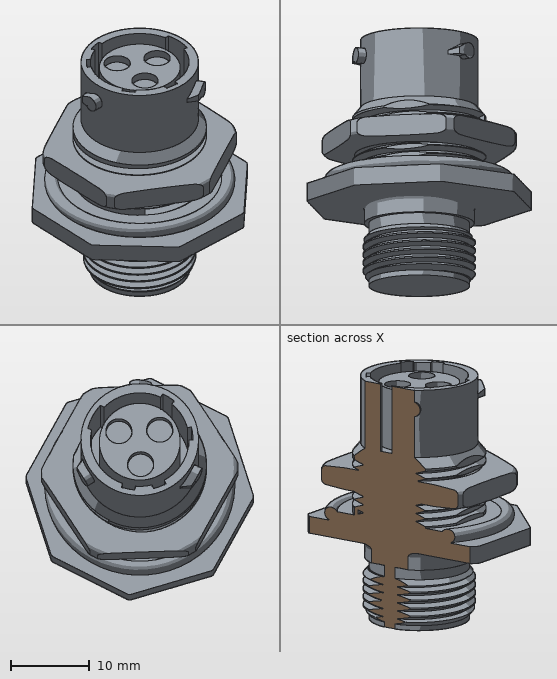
import cadquery as cq
import math

total_height = 32.0

rear_core_radius = 6.43
rear_thread_radius = 7.17
rear_thread_bottom = 0.67
rear_thread_top = 6.72
rear_thread_lead_in = 0.83
rear_thread_root_radius = 6.45
rear_thread_crest_width = 0.2
rear_crest_height = 4.03
rear_groove_turns = 7
rear_groove_turns_below = 4

collar_radius = 7.0
collar_bottom = 8.13
collar_fillet = 0.7

flange_across_flats = 26.98
flange_bottom = 10.5
flange_top = 12.77
flange_corner_radius = 0.7

seal_outer_radius = 12.13
seal_section_radius = 0.9
seal_sink = 0.03
seal_shoulder_top = 14.08

panel_thread_radius = 8.5
panel_thread_root_radius = 7.6
panel_thread_top = 21.9
panel_thread_crest_width = 0.1
panel_groove_start_angle = -38.0
panel_groove_full_turns = 6
panel_groove_extra_angle = 218.0
panel_groove_sweep = panel_groove_full_turns * 360 + panel_groove_extra_angle
panel_groove_start_height = 14.53
panel_flat_distance = 8.0

thread_pitch = 1.05

nut_across_flats = 22.25
nut_bottom = 17.12
nut_top = 20.05
nut_corner_radius = 12.55
nut_face_radius = 9.47
nut_shoulder_radius = 11.85
nut_face_slope_drop = 0.2

shell_radius = 7.5
shell_bottom = 23.15
bore_radius = 6.27
bore_floor = shell_bottom

keyway_radius = 6.8
main_keyway_width = 3.45
main_keyway_angle = 90.0
minor_keyway_width = 1.7
minor_keyway_angles = (195.0, 230.0, 305.0, 355.0)

insert_radius = 5.15
insert_top = 31.15
contact_count = 3
contact_hole_radius = 1.65
contact_hole_depth = 1.0
contact_circle_radius = 3.0

pin_count = 3
pin_radius = 1.0
pin_height = 29.47
pin_outer_radius = 8.55
pin_root_distance = 6.4
pin_tail_reach = 2.85
pin_tail_outer_reach = 1.6
pin_tail_bottom = 0.67
pin_tail_slope = 29.0
pin_blend_start = 0.7
pin_blend_end = 0.22


def cylinder(radius, bottom, top):
    return cq.Workplane("XY").workplane(offset=bottom).circle(radius).extrude(top - bottom)


def regular_prism(sides, across_flats, bottom, top, turn):
    across_corners = across_flats / math.cos(math.pi / sides)
    prism = cq.Workplane("XY").polygon(sides, across_corners).extrude(top - bottom)
    return prism.rotate((0, 0, 0), (0, 0, 1), turn).translate((0, 0, bottom))


def thread_groove(crest_radius, root_radius, crest_width, sweep_angle, start_height, start_angle):
    """V-shaped right-hand helical cutter, reaching a little beyond the crest radius."""
    overshoot = 0.05
    depth = crest_radius - root_radius
    half_width = (thread_pitch - crest_width) / 2
    outer_half_width = half_width * (1 + overshoot / depth)
    length = thread_pitch * sweep_angle / 360
    helix = cq.Wire.makeHelix(thread_pitch, length, root_radius)
    groove = (
        cq.Workplane("XZ")
        .moveTo(root_radius, 0)
        .lineTo(crest_radius + overshoot, outer_half_width)
        .lineTo(crest_radius + overshoot, -outer_half_width)
        .close()
        .sweep(cq.Workplane(obj=helix), isFrenet=True)
    )
    return groove.rotate((0, 0, 0), (0, 0, 1), start_angle).translate((0, 0, start_height))


def make_rear_end():
    core = cylinder(rear_core_radius, 0, flange_bottom)
    blank = (
        cq.Workplane("XZ")
        .moveTo(0, rear_thread_bottom)
        .lineTo(rear_core_radius, rear_thread_bottom)
        .lineTo(rear_thread_radius, rear_thread_bottom + rear_thread_lead_in)
        .lineTo(rear_thread_radius, rear_thread_top - rear_thread_lead_in)
        .lineTo(rear_core_radius, rear_thread_top)
        .lineTo(0, rear_thread_top)
        .close()
        .revolve(360, (0, 0, 0), (0, 1, 0))
    )
    start_height = rear_crest_height + thread_pitch * (0.5 - rear_groove_turns_below)
    groove = thread_groove(
        rear_thread_radius,
        rear_thread_root_radius,
        rear_thread_crest_width,
        rear_groove_turns * 360,
        start_height,
        0,
    )
    return core.union(blank.cut(groove))


def make_flange():
    flange = regular_prism(8, flange_across_flats, flange_bottom, flange_top, 180 / 8)
    flange = flange.edges("|Z").fillet(flange_corner_radius)
    fillet_start = flange_bottom - collar_fillet
    diagonal = collar_fillet * math.sqrt(0.5)
    fillet_center_radius = collar_radius + collar_fillet
    collar = (
        cq.Workplane("XZ")
        .moveTo(0, collar_bottom)
        .lineTo(collar_radius, collar_bottom)
        .lineTo(collar_radius, fillet_start)
        .threePointArc(
            (fillet_center_radius - diagonal, fillet_start + diagonal),
            (fillet_center_radius, flange_bottom),
        )
        .lineTo(fillet_center_radius, flange_top)
        .lineTo(0, flange_top)
        .close()
        .revolve(360, (0, 0, 0), (0, 1, 0))
    )
    return flange.union(collar)


def make_seal():
    ring_radius = seal_outer_radius - seal_section_radius
    ring_height = flange_top + seal_section_radius - seal_sink
    ring = cq.Solid.makeTorus(ring_radius, seal_section_radius)
    shoulder = cylinder(ring_radius, flange_top, seal_shoulder_top)
    return cq.Workplane(obj=ring).translate((0, 0, ring_height)).union(shoulder)


def make_panel_thread():
    blank = (
        cq.Workplane("XZ")
        .moveTo(0, flange_bottom)
        .lineTo(panel_thread_radius, flange_bottom)
        .lineTo(panel_thread_radius, panel_thread_top)
        .lineTo(shell_radius, shell_bottom)
        .lineTo(0, shell_bottom)
        .close()
        .revolve(360, (0, 0, 0), (0, 1, 0))
    )
    groove = thread_groove(
        panel_thread_radius,
        panel_thread_root_radius,
        panel_thread_crest_width,
        panel_groove_sweep,
        panel_groove_start_height,
        panel_groove_start_angle,
    )
    flat = (
        cq.Workplane("XY")
        .box(2 * panel_thread_radius, panel_thread_radius, shell_bottom - flange_top, (True, False, False))
        .translate((0, panel_flat_distance, flange_top))
    )
    return blank.cut(groove).cut(flat)


def make_nut():
    hexagon = regular_prism(6, nut_across_flats, nut_bottom, nut_top, 0)
    lower_shoulder = nut_bottom + nut_face_slope_drop
    upper_shoulder = nut_top - nut_face_slope_drop
    rounding = nut_corner_radius - nut_shoulder_radius
    diagonal = rounding * math.sqrt(0.5)
    arc_middle = nut_shoulder_radius + diagonal
    envelope = (
        cq.Workplane("XZ")
        .moveTo(0, nut_bottom)
        .lineTo(nut_face_radius, nut_bottom)
        .lineTo(nut_shoulder_radius, lower_shoulder)
        .threePointArc(
            (arc_middle, lower_shoulder + rounding - diagonal),
            (nut_corner_radius, lower_shoulder + rounding),
        )
        .lineTo(nut_corner_radius, upper_shoulder - rounding)
        .threePointArc(
            (arc_middle, upper_shoulder - rounding + diagonal),
            (nut_shoulder_radius, upper_shoulder),
        )
        .lineTo(nut_face_radius, nut_top)
        .lineTo(0, nut_top)
        .close()
        .revolve(360, (0, 0, 0), (0, 1, 0))
    )
    return hexagon.intersect(envelope)


def make_keyway(width, angle):
    slot = (
        cq.Workplane("XY")
        .box(keyway_radius, width, total_height - bore_floor, (False, True, False))
        .translate((0, 0, bore_floor))
    )
    rounded_slot = slot.intersect(cylinder(keyway_radius, bore_floor, total_height))
    return rounded_slot.rotate((0, 0, 0), (0, 0, 1), angle)


def make_shell():
    bore = cylinder(bore_radius, bore_floor, total_height)
    bore = bore.union(make_keyway(main_keyway_width, main_keyway_angle))
    for angle in minor_keyway_angles:
        bore = bore.union(make_keyway(minor_keyway_width, angle))
    return cylinder(shell_radius, shell_bottom, total_height).cut(bore)


def make_insert():
    holes = (
        cq.Workplane("XY")
        .workplane(offset=insert_top - contact_hole_depth)
        .polarArray(contact_circle_radius, 90, 360, contact_count)
        .circle(contact_hole_radius)
        .extrude(contact_hole_depth)
    )
    return cylinder(insert_radius, bore_floor, insert_top).cut(holes)


def make_pin():
    """Teardrop pin on the -Y side with its tapered tail toward -X."""
    slope = math.radians(pin_tail_slope)
    head_slope = math.asin(pin_blend_end / pin_radius)
    blend_end_z = pin_radius * math.cos(head_slope)
    blend_rise = (pin_blend_start - pin_blend_end) * math.tan((slope + head_slope) / 2)
    blend_start_z = blend_end_z - blend_rise
    tail_top = blend_start_z - (pin_tail_reach - pin_blend_start) * math.tan(slope)
    outline = cq.Workplane("XZ", origin=(0, -pin_root_distance, pin_height))
    reach = pin_outer_radius - pin_root_distance
    head = outline.circle(pin_radius).extrude(reach)
    tail = (
        outline.moveTo(0, -pin_tail_bottom)
        .lineTo(-pin_tail_reach, -pin_tail_bottom)
        .lineTo(-pin_tail_reach, tail_top)
        .lineTo(-pin_blend_start, blend_start_z)
        .tangentArcPoint((-pin_blend_end, blend_end_z), relative=False)
        .lineTo(0, 0)
        .close()
        .extrude(reach)
    )
    plan = (
        cq.Workplane("XY", origin=(0, 0, pin_height - pin_radius))
        .moveTo(-pin_tail_reach, -pin_root_distance)
        .lineTo(pin_radius, -pin_root_distance)
        .lineTo(pin_radius, -pin_outer_radius)
        .lineTo(-pin_tail_outer_reach, -pin_outer_radius)
        .close()
        .extrude(2 * pin_radius)
    )
    limit = cylinder(pin_outer_radius, pin_height - pin_radius, pin_height + pin_radius)
    return head.union(tail).intersect(plan).intersect(limit)


result = make_rear_end().union(make_flange()).union(make_seal())
result = result.union(make_panel_thread()).union(make_nut())
result = result.union(make_shell()).union(make_insert())

pin = make_pin()
for index in range(pin_count):
    result = result.union(pin.rotate((0, 0, 0), (0, 0, 1), index * 360 / pin_count))